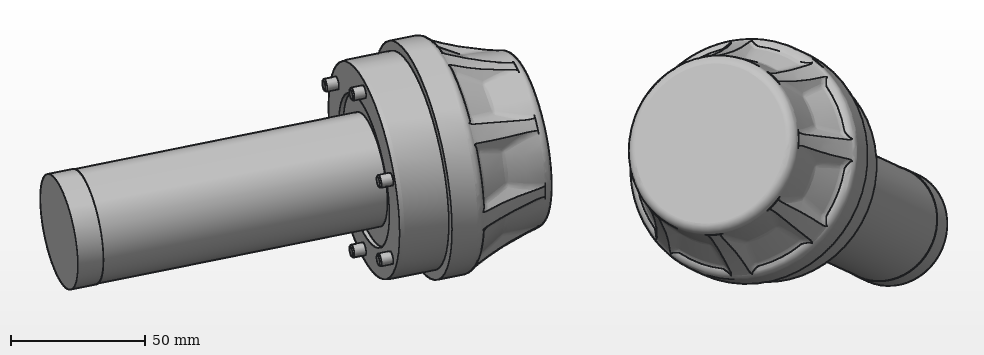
import cadquery as cq
import math

total_length = 183.5
tip_length = 10.1
flange_bottom = total_length - 63.5
collar_bottom = total_length - 44.2
collar_top = total_length - 34.1
collar_rounding = 3.7
rib_bottom = total_length - 32.5
foot_overlap = 0.2
foot_height = collar_top - foot_overlap
pocket_bottom = foot_height + collar_rounding
knee_height = total_length - 18.9
rib_mid_height = total_length - 18.4
rib_top = total_length - 3.7

tube_diameter = 43.7
tip_diameter = 44.0
flange_diameter = 83.5
flange_face_diameter = 83.0
collar_diameter = 91.0
collar_radius = collar_diameter / 2
flange_chamfer_height = 1.8
recess_diameter = 59.0
recess_depth = 1.8

crown_radius = 34.0
crown_rounding = total_length - rib_top
crown_flat_radius = crown_radius - crown_rounding
knee_radius = 35.2
pocket_bottom_radius = collar_radius - collar_rounding
pocket_outer_radius = 55.0
pocket_fillet = 3.7
rib_count = 8
rib_pitch = 360 / rib_count
rib_top_radius = 34.1
rib_top_width = 4.0
rib_mid_radius = 38.5
rib_mid_width = 5.9
rib_bottom_radius = 45.0
rib_foot_radius = 45.7
rib_foot_width = 7.7
rib_side_slope = 1.0
rib_root_radius = 27.5

quarter_mid = math.sqrt(0.5)

pin_count = 6
pin_diameter = 5.0
pin_length = 5.1
pin_circle_radius = 36.5
pin_chamfer = 0.5


def along_y(diameter, bottom, top):
    """Solid cylinder on the Y axis from bottom to top."""
    return (
        cq.Workplane("XZ", origin=(0, bottom, 0))
        .circle(diameter / 2)
        .extrude(bottom - top)
    )


def revolve_about_y(profile):
    """Close a half outline on the axis and turn it fully around Y."""
    return profile.close().revolve(360, (0, 0, 0), (0, 1, 0))


def collar():
    """Collar disc with a large rounding on its knob-side edge."""
    disc = along_y(collar_diameter, collar_bottom, collar_top + collar_rounding)
    return disc.faces(">Y").edges().fillet(collar_rounding)


def crest_body():
    """Body of revolution with the rib crests as concave flank and a rounded crown on top."""
    mid_offset = crown_rounding * quarter_mid
    crown_mid = (crown_flat_radius + mid_offset, rib_top + mid_offset)
    return revolve_about_y(
        cq.Workplane("XY")
        .moveTo(0, rib_bottom)
        .lineTo(rib_bottom_radius, rib_bottom)
        .threePointArc((rib_mid_radius, rib_mid_height), (rib_top_radius, rib_top))
        .lineTo(crown_radius, rib_top)
        .threePointArc(crown_mid, (crown_flat_radius, total_length))
        .lineTo(0, total_length)
    )


def rib_section(crest_radius, crest_width):
    """Triangle through the crest corners that gets wider toward the axis."""
    root_half_width = crest_width / 2 + rib_side_slope * (crest_radius - rib_root_radius)
    apex_radius = crest_radius + crest_width / 2 / rib_side_slope
    return [
        (rib_root_radius, -root_half_width),
        (apex_radius, 0),
        (rib_root_radius, root_half_width),
    ]


def rib_wedge():
    """Wedge on the +X side, lofted through three sections, whose flanks are the rib sides."""
    return (
        cq.Workplane("XZ", origin=(0, foot_height, 0))
        .polyline(rib_section(rib_foot_radius, rib_foot_width))
        .close()
        .workplane(offset=foot_height - rib_mid_height)
        .polyline(rib_section(rib_mid_radius, rib_mid_width))
        .close()
        .workplane(offset=rib_mid_height - rib_top)
        .polyline(rib_section(rib_top_radius, rib_top_width))
        .close()
        .loft()
    )


def pocket():
    """Space between two neighbouring ribs, with its floor and sides blended."""
    mid_offset = collar_rounding * quarter_mid
    rounding_mid = (pocket_bottom_radius + mid_offset, foot_height + mid_offset)
    sector = (
        cq.Workplane("XY")
        .moveTo(collar_radius, foot_height)
        .threePointArc(rounding_mid, (pocket_bottom_radius, pocket_bottom))
        .lineTo(knee_radius, knee_height)
        .lineTo(crown_radius, rib_top)
        .lineTo(pocket_outer_radius, rib_top)
        .lineTo(pocket_outer_radius, foot_height)
        .close()
        .revolve(rib_pitch, (0, 0, 0), (0, 1, 0))
    )
    wedge = rib_wedge()
    space = sector.cut(wedge).cut(wedge.rotate((0, 0, 0), (0, 1, 0), rib_pitch))
    blended_edges = space.faces("%CONE or %TORUS").edges("not(>Y or <Y)")
    return blended_edges.fillet(pocket_fillet)


def knob():
    body = crest_body()
    single_pocket = pocket()
    for index in range(rib_count):
        body = body.cut(single_pocket.rotate((0, 0, 0), (0, 1, 0), index * rib_pitch))
    return body.union(collar())


def flange():
    """Chamfered flange with a shallow round recess around the tube."""
    body = revolve_about_y(
        cq.Workplane("XY")
        .moveTo(0, flange_bottom)
        .lineTo(flange_face_diameter / 2, flange_bottom)
        .lineTo(flange_diameter / 2, flange_bottom + flange_chamfer_height)
        .lineTo(flange_diameter / 2, collar_bottom)
        .lineTo(0, collar_bottom)
    )
    return body.cut(along_y(recess_diameter, flange_bottom, flange_bottom + recess_depth))


def tube():
    shaft = along_y(tube_diameter, tip_length, collar_bottom)
    return shaft.union(along_y(tip_diameter, 0, tip_length))


def pins():
    """Ring of chamfered pins standing out of the flange face."""
    pin = along_y(pin_diameter, flange_bottom - pin_length, collar_bottom)
    pin = pin.faces("<Y").chamfer(pin_chamfer).translate((0, 0, pin_circle_radius))
    ring = pin
    for index in range(1, pin_count):
        ring = ring.union(pin.rotate((0, 0, 0), (0, 1, 0), index * 360 / pin_count))
    return ring


result = knob().union(flange()).union(tube()).union(pins())